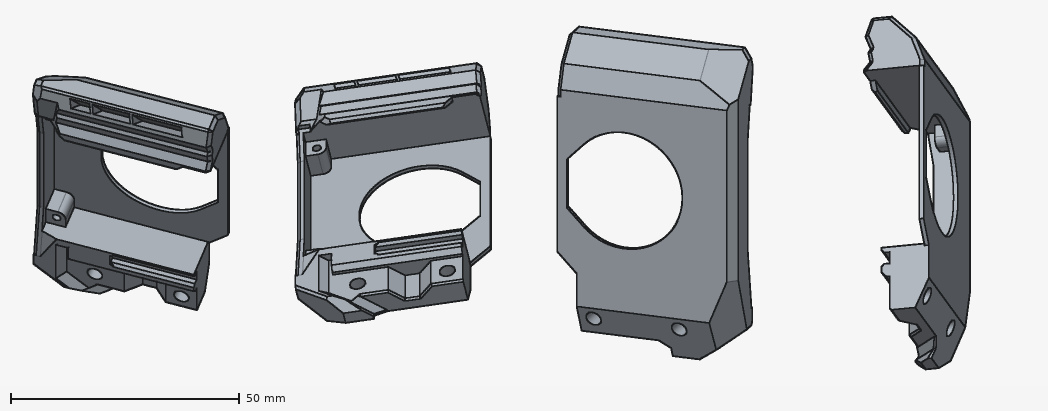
import cadquery as cq
import math

WIDTH = 41.6
DEPTH = 13.8
HEIGHT = 71.4
FAR = 107.1

PLATE_THICKNESS = 1.0
PLATE_FRONT = DEPTH - PLATE_THICKNESS
WALL_THICKNESS = 1.6
HEADER_BOTTOM = 58.9
SHELF_TOP = 18.8
SHELF_FRONT = 3.0
SHELF_RIGHT = 37.05
PLATE_CORNER = 22.85

RIM_FRONT = 5.35
RIM_TOP = 51.2
RIM_BOTTOM = 25.65
RIM_LEAN = 0.165
RIM_FOOT = RIM_BOTTOM - (RIM_FRONT - SHELF_FRONT) / RIM_LEAN
FACET_WIDTH = 3.8
RIM_CHAMFER = (0.65, 0.4)

BACK_LOW = 10.65
BOTTOM_BACK = 8.85
BACK_HIGH = 60.55
CROWN = (11.8, 66.0)
TOP_BACK = CROWN[0] + CROWN[1] - HEIGHT
BACK_LEFT_CHAMFER = 1.9
CROWN_CORNER_START = 9.0
CROWN_CORNER_LEAN = 0.35
FOOT_CORNER_START = 20.7
FOOT_CORNER_LEAN = 0.41
TOP_LEFT_CHAMFER = 2.0
LOWER_LEFT_CUT = (10.15, 7.4)
LOWER_LEFT_BREAK = 0.6
BOTTOM_FRONT_CHAMFER = 2.9

TOP_FRONT = 2.2
VISOR_TOP = (1.7, 71.0)
VISOR_NOSE = (0.35, 67.2)
RIBS = ((1.6, 64.2), (1.0, 63.35), (1.4, 61.1), (0, 59.4))
HEADER_END_CHAMFER = 0.85
FRONT_END = 7.15
LUG_FRONT = 1.15
LUG_BOTTOM = 60.7
RIM_END = (3.2, 60.05)
LUG_CHAMFER = 1.4
LUG_CHAMFER_LEAN = 0.4
TOOTH_BOTTOM = 56.85
TOOTH_DEPTH = 1.2
TOOTH_TIP = 0.65
TOOTH_LEAN = 1.1
TOOTH_SHOULDER = 58.5
TOOTH_RIGHT = 35.5

SLOTS = ((8.9, 13.4), (14.1, 22.65), (23.3, 34.6))
SLOT_TOP = 70.5
SLOT_BOTTOM = 68.2
SLOT_SLANT = 0.5
SLOT_DEPTH = 4.3
SLOT_FLOOR_SLOPE = 0.8

OPENING_CENTRE = (25.85, 38.9)
OPENING_RADIUS = 13.5
OPENING_RIGHT = 39.35
BOSS_SIZE = 4.6
BOSS_FRONT = 6.85
BOSS_CORNER_RADIUS = 1.85
BOSS_HOLE_OFFSET = 2.5
BOSS_HOLE_DIAMETER = 1.85
BOSS_HOLE_DEPTH = 4.3

RECESS_FLOOR = 4.85
RECESS_LEFT = 7.1
RECESS_TOP = 16.8
RECESS_LEDGE = 3.15
SHELF_LEFT = 8.1
SHELF_UNDERSIDE = (13.0, 11.85)
SCREW_POSITIONS = (13.6, 33.55)
SCREW_HEIGHT = 7.8
SCREW_DIAMETER = 3.4
CHANNEL_LEFT = 20.4
CHANNEL_RIGHT = 29.9
CHANNEL_DEPTH = 3.15
GROOVE_LEFT = 17.65
GROOVE_TOP = 18.2
GROOVE_BOTTOM = 14.3
GROOVE_DEPTH = 1.85
GROOVE_BEVEL = 0.65
GROOVE_CORNER = 1.0
BOTTOM_EDGE = 3.9
BOTTOM_BREAK = 0.4
FOOT_RIGHT = 16.4
FOOT_TOP = 2.2
FOOT_RAMP_END = 19.1
FOOT_SHELL = 0.35
NOTCH_BASE = 13.3
NOTCH_CORNER = (11.9, 2.15)
NOTCH_SHOULDER = 13.7


def prism_x(yz_points, x_start, x_end):
    """Prism along X from an outline in the YZ plane."""
    return cq.Workplane("YZ", origin=(x_start, 0, 0)).polyline(yz_points).close().extrude(x_end - x_start)


def prism_y(xz_points, y_start, y_end):
    """Prism along Y from an outline in the XZ plane."""
    return cq.Workplane("XZ", origin=(0, y_start, 0)).polyline(xz_points).close().extrude(y_start - y_end)


def box(x, y, z):
    """Box between the (low, high) pairs given for each axis."""
    size = [high - low for low, high in (x, y, z)]
    return cq.Workplane("XY").box(*size, centered=False).translate((x[0], y[0], z[0]))


def half_space(point, normal):
    """Everything on the side of a plane that its normal points to."""
    plane = cq.Plane(origin=point, normal=normal)
    return cq.Workplane(plane).rect(2 * FAR, 2 * FAR).extrude(FAR)


def rim_front(z):
    """Y of the left wall's front edge at height z."""
    return RIM_FRONT - RIM_LEAN * max(z - RIM_TOP, RIM_BOTTOM - z, 0)


def hull():
    """Left wall, back plate and bottom block, up to the top block."""
    outline = [
        (SHELF_FRONT + BOTTOM_FRONT_CHAMFER, 0),
        (BOTTOM_BACK, 0),
        (DEPTH, BACK_LOW),
        (DEPTH, HEADER_BOTTOM),
        (rim_front(HEADER_BOTTOM), HEADER_BOTTOM),
        (RIM_FRONT, RIM_TOP),
        (RIM_FRONT, RIM_BOTTOM),
        (rim_front(SHELF_TOP), SHELF_TOP),
        (SHELF_FRONT, SHELF_TOP),
        (SHELF_FRONT, BOTTOM_FRONT_CHAMFER),
    ]
    window = box((WALL_THICKNESS, WIDTH), (0, PLATE_FRONT), (SHELF_TOP, HEADER_BOTTOM))
    corner_end = PLATE_CORNER - (WIDTH - SHELF_RIGHT)
    right_clearance = [(WIDTH, PLATE_CORNER), (SHELF_RIGHT, corner_end), (SHELF_RIGHT, 0), (WIDTH, 0)]
    shelf_end = box((SHELF_RIGHT, WIDTH), (0, PLATE_FRONT), (0, SHELF_TOP))
    return prism_x(outline, 0, WIDTH).cut(window).cut(shelf_end).cut(prism_y(right_clearance, 0, DEPTH))


def header():
    """Top block with its ribbed front; its right end is chamfered all round."""
    below = HEADER_BOTTOM - 2 * HEADER_END_CHAMFER
    outline = [
        (DEPTH, below),
        (DEPTH, BACK_HIGH),
        CROWN,
        (TOP_BACK, HEIGHT),
        (TOP_FRONT, HEIGHT),
        VISOR_TOP,
        VISOR_NOSE,
        *RIBS,
        (0, below),
    ]
    straight_end = WIDTH - HEADER_END_CHAMFER
    end_cap = (
        cq.Workplane("YZ", origin=(straight_end, 0, 0))
        .polyline(outline)
        .close()
        .extrude(HEADER_END_CHAMFER, taper=45)
    )
    block = prism_x(outline, 0, straight_end).union(end_cap)
    return block.cut(box((-0.7, FAR), (-0.7, FAR), (0, HEADER_BOTTOM)))


def lug_clearance():
    """Space in front of the leaning face at the left of the ribbed front."""
    def lug_face(z):
        return LUG_FRONT + RIM_LEAN * (VISOR_NOSE[1] - z)

    outline = [
        (-0.7, HEIGHT + 0.7),
        (lug_face(HEIGHT + 0.7), HEIGHT + 0.7),
        (lug_face(LUG_BOTTOM), LUG_BOTTOM),
        (rim_front(HEADER_BOTTOM), HEADER_BOTTOM),
        (-0.7, HEADER_BOTTOM),
    ]
    left_of_front = half_space((FRONT_END, 0, 0), (-1, -1, 0))
    rim_end = [
        (0, HEADER_BOTTOM),
        (rim_front(HEADER_BOTTOM), HEADER_BOTTOM),
        (rim_front(RIM_END[1]), RIM_END[1]),
        (0, RIM_END[1]),
    ]
    clearance = prism_x(outline, -0.7, FRONT_END + 0.7).intersect(left_of_front)
    return clearance.union(prism_x(rim_end, RIM_CHAMFER[0], RIM_END[0]))


def lug_corner_chamfer():
    """Chamfer on the vertical front left edge of the top block."""
    lean = half_space((0, LUG_FRONT + LUG_CHAMFER, VISOR_NOSE[1]), (-1, -1, -RIM_LEAN))
    upper = half_space((0, LUG_FRONT + LUG_CHAMFER, VISOR_NOSE[1]), (-1, -1, LUG_CHAMFER_LEAN))
    slab_low = box((-0.7, FRONT_END), (-0.7, DEPTH), (HEADER_BOTTOM, VISOR_NOSE[1]))
    slab_high = box((-0.7, FRONT_END), (-0.7, DEPTH), (VISOR_NOSE[1], HEIGHT))
    return lean.intersect(slab_low).union(upper.intersect(slab_high))


def tooth():
    """Hooked tooth hanging below the front of the top block, with sloping ends."""
    top = HEADER_BOTTOM
    drop = top - TOOTH_BOTTOM
    section = [
        (0, top),
        (0, TOOTH_BOTTOM + TOOTH_TIP),
        (TOOTH_TIP, TOOTH_BOTTOM),
        (TOOTH_DEPTH, TOOTH_BOTTOM + TOOTH_TIP / 2),
        (TOOTH_DEPTH, top),
    ]
    front = [
        (0, top),
        (0, TOOTH_BOTTOM),
        (TOOTH_RIGHT - drop, TOOTH_BOTTOM),
        (TOOTH_RIGHT, top),
    ]
    left_of_front = half_space((FRONT_END, 0, 0), (-1, -1, 0))
    left_lean = half_space((FRONT_END, 0, TOOTH_SHOULDER), (-1, -1, -TOOTH_LEAN))
    bar = prism_x(section, 0, WIDTH).intersect(prism_y(front, 0, DEPTH))
    return bar.cut(left_of_front).cut(left_lean)


def visor_slots():
    """Slanted slots with a floor falling inward and a back that slopes up to the visor face."""
    visor_slope = (VISOR_TOP[0] - VISOR_NOSE[0]) / (VISOR_TOP[1] - VISOR_NOSE[1])
    mouth_top = VISOR_NOSE[0] + visor_slope * (SLOT_TOP - VISOR_NOSE[1])
    mouth_bottom = VISOR_NOSE[0] + visor_slope * (SLOT_BOTTOM - VISOR_NOSE[1])
    deepest = SLOT_BOTTOM - SLOT_DEPTH * SLOT_FLOOR_SLOPE
    section = [
        (-0.7, SLOT_TOP),
        (mouth_top, SLOT_TOP),
        (mouth_bottom + SLOT_DEPTH, deepest),
        (mouth_bottom, SLOT_BOTTOM),
        (-0.7, SLOT_BOTTOM),
    ]
    shift = SLOT_SLANT * (SLOT_TOP - deepest) / (SLOT_TOP - SLOT_BOTTOM)
    slots = cq.Workplane("XY")
    for left, right in SLOTS:
        front = [(left, SLOT_TOP), (right, SLOT_TOP), (right + shift, deepest), (left + shift, deepest)]
        slots = slots.add(prism_x(section, 0, WIDTH).intersect(prism_y(front, -0.7, DEPTH)))
    return slots.combine()


def plate_opening():
    """Round opening with 45 degree tangents running to a flat right side."""
    x, z = OPENING_CENTRE
    tangent = OPENING_RADIUS * math.sqrt(0.5)
    flat = 2 * tangent - (OPENING_RIGHT - x)
    return (
        cq.Workplane("XZ", origin=(0, DEPTH + 0.7, 0))
        .moveTo(x + tangent, z + tangent)
        .threePointArc((x - OPENING_RADIUS, z), (x + tangent, z - tangent))
        .lineTo(OPENING_RIGHT, z - flat)
        .lineTo(OPENING_RIGHT, z + flat)
        .close()
        .extrude(PLATE_THICKNESS + 1.4)
    )


def screw_boss(z_low, rounded_side):
    """Square boss in a corner of the window with its inner edge rounded and a blind hole."""
    x = (WALL_THICKNESS, WALL_THICKNESS + BOSS_SIZE)
    z = (z_low, z_low + BOSS_SIZE)
    hole_z = z_low + BOSS_HOLE_OFFSET if rounded_side == ">Z" else z[1] - BOSS_HOLE_OFFSET
    hole = (
        cq.Workplane("XZ", origin=(x[0] + BOSS_HOLE_OFFSET, BOSS_FRONT, hole_z))
        .circle(BOSS_HOLE_DIAMETER / 2)
        .extrude(-BOSS_HOLE_DEPTH)
    )
    block = box(x, (BOSS_FRONT, PLATE_FRONT), z)
    return block.edges(f">X and {rounded_side}").fillet(BOSS_CORNER_RADIUS).cut(hole)


def rim_clearance():
    """Space in front of the lower left wall, with the facet running into the shelf."""
    wedge = [(SHELF_FRONT, RIM_FOOT), (rim_front(SHELF_TOP), SHELF_TOP), (SHELF_FRONT, SHELF_TOP)]
    rise = SHELF_TOP - RIM_FOOT
    depth = rim_front(SHELF_TOP) - SHELF_FRONT
    facet_normal = (-1 / FACET_WIDTH, -1 / depth, 1 / rise)
    facet = half_space((WALL_THICKNESS, SHELF_FRONT, RIM_FOOT), facet_normal)
    facet_zone = box((WALL_THICKNESS, SHELF_LEFT), (0, DEPTH), (RIM_FOOT, SHELF_TOP))
    return prism_x(wedge, 0, WALL_THICKNESS).union(facet.intersect(facet_zone))


def rim_edge_chamfer():
    """Narrow chamfer on the outer front edge of the left wall."""
    run, fall = RIM_CHAMFER
    heights = (HEADER_BOTTOM, RIM_TOP, RIM_BOTTOM, RIM_FOOT)
    cutter = cq.Workplane("XY")
    for top, bottom in zip(heights, heights[1:]):
        lean = (rim_front(bottom) - rim_front(top)) / (top - bottom)
        plane = half_space((0, rim_front(top) + fall, top), (-fall, -run, -run * lean))
        cutter = cutter.add(plane.intersect(box((-0.7, WALL_THICKNESS), (0, DEPTH), (bottom, top))))
    return cutter.combine()


def outer_corner_cuts():
    """Planes that trim the left corners of the outside."""
    run, rise = LOWER_LEFT_CUT
    back_edge = DEPTH - BACK_LEFT_CHAMFER
    break_edge = SHELF_FRONT + LOWER_LEFT_BREAK
    back_left = half_space((0, back_edge, 0), (-1, 1, 0))
    top_left = half_space((0, 0, HEIGHT - TOP_LEFT_CHAMFER), (-1, 0, 1))
    upper_back = half_space((CROWN_CORNER_START, *CROWN), (-CROWN_CORNER_LEAN, 1, 1))
    lower_back = half_space((0, back_edge, FOOT_CORNER_START), (-1, 1, -FOOT_CORNER_LEAN))
    lower_left = half_space((0, 0, rise), (-rise, 0, -run))
    lower_left_break = half_space((0, break_edge, rise), (-rise, -math.hypot(rise, run), -run))
    return [back_left, top_left, upper_back, lower_back, lower_left, lower_left_break]


def diagonal(offset, x):
    """Height at x of a line parallel to the lower left cut, moved inward."""
    run, rise = LOWER_LEFT_CUT
    return rise - rise / run * x + offset * math.hypot(rise, run) / run


def recess():
    """Recess below the shelf, with 45 degree left and lower left walls."""
    depth = RECESS_FLOOR - SHELF_FRONT

    def outline(spread):
        left = RECESS_LEFT - spread
        ledge = RECESS_LEDGE - spread
        return [
            (left, RECESS_TOP),
            (left, diagonal(ledge, left)),
            (FOOT_RIGHT, diagonal(ledge, FOOT_RIGHT)),
            (SHELF_RIGHT + depth, diagonal(ledge, FOOT_RIGHT)),
            (SHELF_RIGHT + depth, RECESS_TOP),
        ]

    pocket = (
        cq.Workplane("XZ", origin=(0, RECESS_FLOOR, 0))
        .polyline(outline(0))
        .close()
        .workplane(offset=depth)
        .polyline(outline(depth))
        .close()
        .loft(ruled=True)
    )
    shelf = [
        (SHELF_FRONT, SHELF_TOP),
        (SHELF_FRONT, SHELF_UNDERSIDE[0]),
        (SHELF_FRONT + SHELF_UNDERSIDE[0] - SHELF_UNDERSIDE[1], SHELF_UNDERSIDE[1]),
        (RECESS_FLOOR, SHELF_UNDERSIDE[1]),
        (RECESS_FLOOR, SHELF_TOP),
    ]
    return pocket.cut(prism_x(shelf, SHELF_LEFT, FAR))


def shelf_groove():
    """Bevelled groove along the front of the shelf, open at the right end."""
    bottom = SHELF_FRONT + GROOVE_DEPTH
    section = [
        (SHELF_FRONT, GROOVE_TOP),
        (SHELF_FRONT + GROOVE_BEVEL, GROOVE_TOP - GROOVE_BEVEL),
        (bottom, GROOVE_TOP - GROOVE_BEVEL),
        (bottom, GROOVE_BOTTOM + GROOVE_BEVEL),
        (SHELF_FRONT + GROOVE_BEVEL, GROOVE_BOTTOM + GROOVE_BEVEL),
        (SHELF_FRONT, GROOVE_BOTTOM),
    ]
    front = [
        (GROOVE_LEFT + GROOVE_CORNER, GROOVE_TOP),
        (GROOVE_LEFT, GROOVE_TOP - GROOVE_BEVEL),
        (GROOVE_LEFT, GROOVE_BOTTOM + GROOVE_BEVEL),
        (GROOVE_LEFT + GROOVE_CORNER, GROOVE_BOTTOM),
        (WIDTH, GROOVE_BOTTOM),
        (WIDTH, GROOVE_TOP),
    ]
    return prism_x(section, GROOVE_LEFT, WIDTH).intersect(prism_y(front, 0, DEPTH))


def screw_holes():
    """Two through holes in the recess floor."""
    return (
        cq.Workplane("XZ")
        .pushPoints([(x, SCREW_HEIGHT) for x in SCREW_POSITIONS])
        .circle(SCREW_DIAMETER / 2)
        .extrude(-DEPTH)
    )


def channel_outline():
    """Plan outline of the channel between the screws, with 45 degree sides."""
    return [
        (CHANNEL_LEFT, RECESS_FLOOR),
        (CHANNEL_LEFT + CHANNEL_DEPTH, RECESS_FLOOR + CHANNEL_DEPTH),
        (CHANNEL_RIGHT - CHANNEL_DEPTH, RECESS_FLOOR + CHANNEL_DEPTH),
        (CHANNEL_RIGHT, RECESS_FLOOR),
    ]


def recess_channel():
    """Upright channel between the screws, up to the shelf."""
    return cq.Workplane("XY").polyline(channel_outline()).close().extrude(SHELF_UNDERSIDE[1])


def bottom_break():
    """45 degree break along the bottom edge of the recess wall and its channel."""
    left = NOTCH_SHOULDER + BOTTOM_BREAK
    outline = [(left, 0), (left, RECESS_FLOOR), *channel_outline(), (WIDTH, RECESS_FLOOR), (WIDTH, 0)]
    return (
        cq.Workplane("XY", origin=(0, 0, BOTTOM_EDGE + BOTTOM_BREAK))
        .polyline(outline)
        .close()
        .extrude(-BOTTOM_BREAK, taper=-45)
    )


def foot_clearance():
    """Space below the recess wall, right of the foot, and the notch above the foot."""
    below = [
        (FOOT_RIGHT, -0.7),
        (FOOT_RIGHT, FOOT_TOP),
        (FOOT_RAMP_END, BOTTOM_EDGE),
        (WIDTH, BOTTOM_EDGE),
        (WIDTH, -0.7),
    ]
    notch_edge = [
        (NOTCH_BASE, 0),
        NOTCH_CORNER,
        (NOTCH_SHOULDER, BOTTOM_EDGE),
        (FOOT_RAMP_END, BOTTOM_EDGE),
        (FOOT_RAMP_END, 0),
    ]
    notch_start = cq.Wire.makePolygon([cq.Vector(x - RECESS_FLOOR, 0, z) for x, z in notch_edge], close=True)
    notch = cq.Workplane(cq.Solid.extrudeLinear(notch_start, [], cq.Vector(DEPTH, DEPTH, 0)))
    skin = half_space((0, BOTTOM_BACK - FOOT_SHELL, 0), (0, BACK_LOW, BOTTOM_BACK - DEPTH))
    return prism_y(below, 0, DEPTH).union(notch.cut(skin))


body = hull().cut(rim_clearance()).cut(rim_edge_chamfer())
body = body.union(header().cut(lug_clearance()).cut(lug_corner_chamfer()).cut(visor_slots()))
body = body.union(tooth())
body = body.union(screw_boss(SHELF_TOP, ">Z"))
body = body.union(screw_boss(HEADER_BOTTOM - BOSS_SIZE, "<Z"))
body = body.cut(plate_opening())

for cutter in outer_corner_cuts():
    body = body.cut(cutter)
for cutter in (recess(), shelf_groove(), screw_holes(), recess_channel(), bottom_break(), foot_clearance()):
    body = body.cut(cutter)

result = body